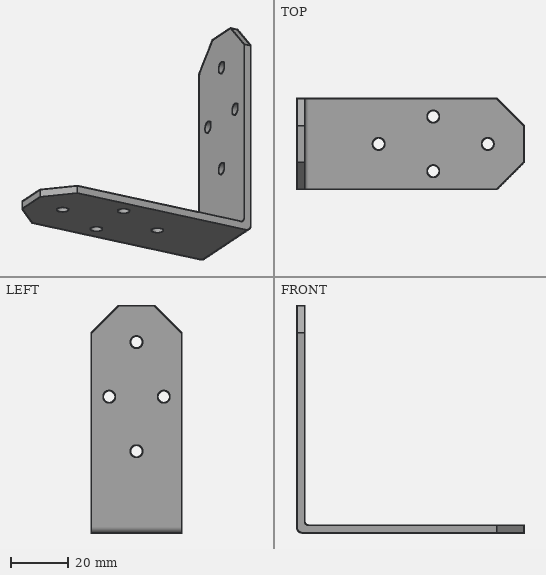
import cadquery as cq

leg_length = 79.375
width = 31.75
thickness = 2.778
inner_radius = thickness / 2
outer_radius = 0.75 * thickness
corner_cut = 9.525
hole_diameter = 4.1656

pattern_center = 47.625
pattern_reach_along = 19.05
pattern_reach_across = 9.525

half_width = width / 2
hole_points = [
    (pattern_center - pattern_reach_along, 0),
    (pattern_center + pattern_reach_along, 0),
    (pattern_center, -pattern_reach_across),
    (pattern_center, pattern_reach_across),
]


def make_leg():
    """Flat leg along +X on the XY plane with two clipped corners and four through holes."""
    outline = [
        (0, -half_width),
        (leg_length - corner_cut, -half_width),
        (leg_length, -half_width + corner_cut),
        (leg_length, half_width - corner_cut),
        (leg_length - corner_cut, half_width),
        (0, half_width),
    ]
    leg = cq.Workplane("XY").polyline(outline).close().extrude(thickness)
    holes = (
        cq.Workplane("XY")
        .pushPoints(hole_points)
        .circle(hole_diameter / 2)
        .extrude(thickness)
    )
    return leg.cut(holes)


def make_upright_leg():
    """The same leg stood up along +Z, with its outer face on X = 0."""
    return make_leg().rotate((0, 0, 0), (0, 1, 0), -90).translate((thickness, 0, 0))


def round_bend(bracket):
    """Round the outer and the inner corner where the two legs meet."""
    outer_corner = cq.selectors.NearestToPointSelector((0, 0, 0))
    inner_corner = cq.selectors.NearestToPointSelector((thickness, 0, thickness))
    bracket = bracket.edges("|Y").edges(outer_corner).fillet(outer_radius)
    return bracket.edges("|Y").edges(inner_corner).fillet(inner_radius)


result = round_bend(make_leg().union(make_upright_leg()))